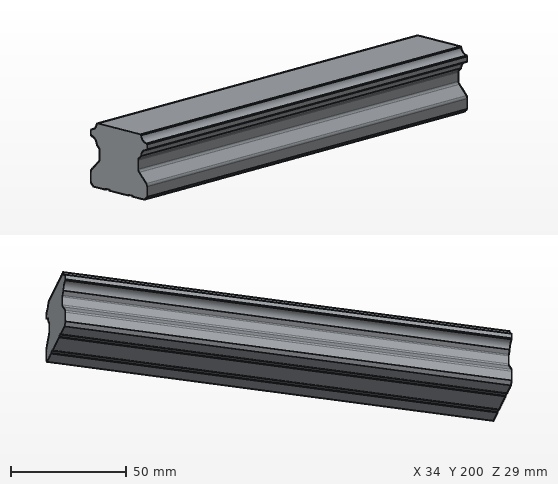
import cadquery as cq

length = 200.0
width = 34.0
height = 29.0

crown_width = 26.0
crown_chamfer = 0.5
lip_face_bottom = 23.0
lip_face_top = 25.2
lip_chamfer = 0.5
groove_radius = 3.5

waist_width = 23.5
waist_top = 17.5
waist_bottom = 12.5
waist_top_blend = 0.8
foot_slope_blend = 1.8
bottom_chamfer = 1.5

channel_depth = 0.5
channel_inner_offset = 5.8
channel_outer_offset = 8.2

half_width = width / 2
half_waist = waist_width / 2
half_crown = crown_width / 2
half_neck = half_crown + crown_chamfer
lip_edge = half_width - lip_chamfer

foot_top = waist_bottom - (half_width - half_waist)
neck_bottom = waist_top + (half_neck - half_waist)
upper_groove_end = height - crown_chamfer
lower_groove_end = lip_face_bottom + lip_face_top - upper_groove_end


def half_profile():
    """Outline of the +X half of the cross-section, with X across and Z up."""
    return (
        cq.Workplane("XZ")
        .moveTo(0, 0)
        .lineTo(channel_inner_offset, 0)
        .lineTo(channel_inner_offset, channel_depth)
        .lineTo(channel_outer_offset, channel_depth)
        .lineTo(channel_outer_offset, 0)
        .lineTo(half_width - bottom_chamfer, 0)
        .lineTo(half_width, bottom_chamfer)
        .lineTo(half_width, foot_top)
        .lineTo(half_waist, waist_bottom)
        .lineTo(half_waist, waist_top)
        .lineTo(half_neck, neck_bottom)
        .lineTo(half_neck, lower_groove_end)
        .radiusArc((lip_edge, lip_face_bottom - lip_chamfer), groove_radius)
        .lineTo(half_width, lip_face_bottom)
        .lineTo(half_width, lip_face_top)
        .lineTo(lip_edge, lip_face_top + lip_chamfer)
        .radiusArc((half_neck, upper_groove_end), groove_radius)
        .lineTo(half_crown, height)
        .lineTo(0, height)
        .close()
    )


def round_corner(body, x, z, radius):
    """Round the lengthwise edge of the body at the given corner of its section."""
    corner = cq.selectors.NearestToPointSelector((x, 0, z))
    return body.edges("|Y").edges(corner).fillet(radius)


def half_rail():
    """+X half of the rail, with the ends of the waist slopes rounded."""
    body = half_profile().extrude(length / 2, both=True)
    body = round_corner(body, half_width, foot_top, foot_slope_blend)
    body = round_corner(body, half_waist, waist_bottom, foot_slope_blend)
    return round_corner(body, half_waist, waist_top, waist_top_blend)


right_half = half_rail()
result = right_half.union(right_half.mirror("YZ")).clean()